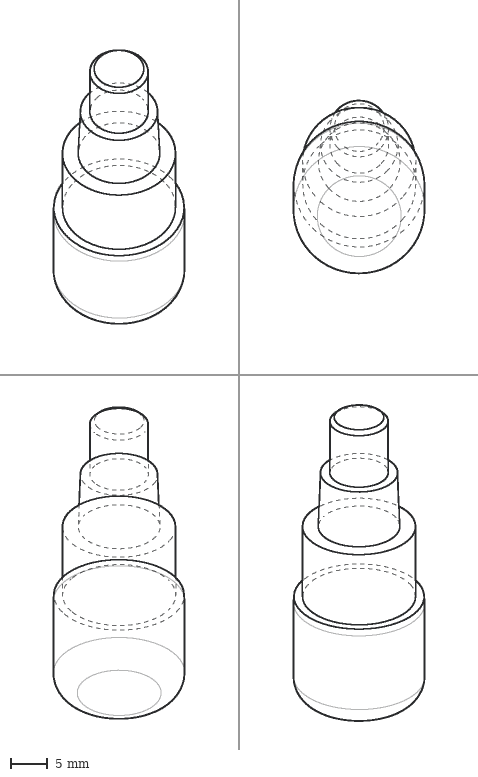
import cadquery as cq

knob_top = 15.9
rim_height = 1.0
sleeve_top = 27.0
neck_top = 35.5
pin_tip = 44.25

knob_radius = 9.0
rim_top_radius = 8.93
sleeve_radius = 7.75
neck_base_radius = 5.6
neck_top_radius = 5.3
pin_radius = 4.0

knob_bottom_fillet = 3.25
pin_tip_chamfer = 0.6


def make_knob():
    """Round grip with a rounded bottom edge and a slightly tapered rim at the top."""
    rim_bottom = knob_top - rim_height
    body = (
        cq.Workplane("XZ")
        .polyline([
            (0, 0),
            (knob_radius, 0),
            (knob_radius, rim_bottom),
            (rim_top_radius, knob_top),
            (0, knob_top),
        ])
        .close()
        .revolve(360, (0, 0, 0), (0, 1, 0))
    )
    return body.faces("<Z").edges().fillet(knob_bottom_fillet)


def make_plunger():
    """Stepped shaft on top of the knob: sleeve, tapered neck and chamfered pin."""
    body = (
        cq.Workplane("XZ")
        .polyline([
            (0, knob_top),
            (sleeve_radius, knob_top),
            (sleeve_radius, sleeve_top),
            (neck_base_radius, sleeve_top),
            (neck_top_radius, neck_top),
            (pin_radius, neck_top),
            (pin_radius, pin_tip),
            (0, pin_tip),
        ])
        .close()
        .revolve(360, (0, 0, 0), (0, 1, 0))
    )
    return body.faces(">Z").edges().chamfer(pin_tip_chamfer)


knob = make_knob()
plunger = make_plunger()

result = cq.Compound.makeCompound([knob.val(), plunger.val()])